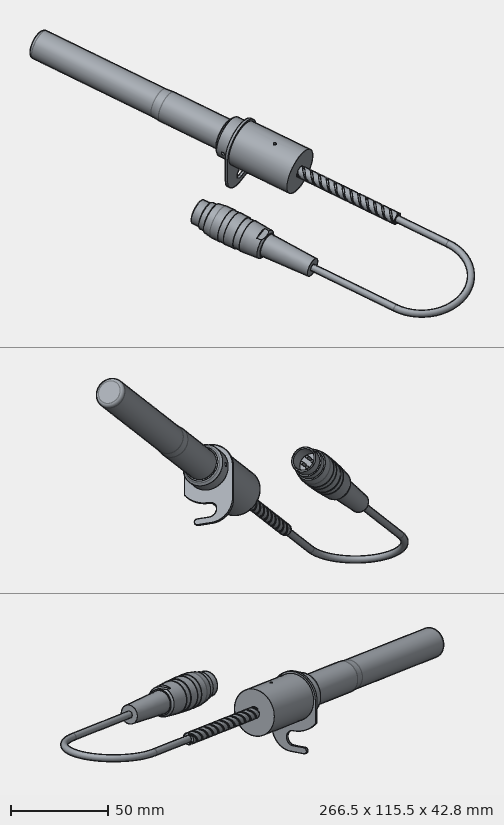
import cadquery as cq
import math

AXIS_TILT = -13.0

TIP_DIAMETER = 16.0
TIP_FILLET = 1.9
CONE_START = 74.3
CONE_END = 79.1
BARREL_DIAMETER = 16.8
COLLAR_START = 114.5
COLLAR_RIM_DIAMETER = 18.5
COLLAR_STEP_DIAMETER = 20.0
COLLAR_STEP = 0.5
COLLAR_DIAMETER = 22.5
COLLAR_CHAMFER = (COLLAR_DIAMETER - COLLAR_STEP_DIAMETER) / 2
COLLAR_HOLE_DIAMETER = 2.0
COLLAR_HOLE_X = 120.2
SCREW_HOLE_DEPTH = 5.3

PLATE_START = 123.0
PLATE_THICKNESS = 1.5
PLATE_RADIUS = 13.5
LOBE_RADIUS = 18.0
HOOK_SLOT_RADIUS = 4.0
HOOK_SLOT_END_Y = -0.5
HOOK_BOTTOM = 29.3
HOOK_REACH = 8.0
HOOK_OUTER_RADIUS = 11.7

HOUSING_START = PLATE_START + PLATE_THICKNESS
HOUSING_END = 160.0
HOUSING_DIAMETER = 25.0
HOUSING_HOLE_DIAMETER = 1.5
HOUSING_HOLE_X = 144.7

CABLE_DIAMETER = 3.7
BEND_START = 250.0
BEND_RADIUS = 25.3
CONNECTOR_Y = -2 * BEND_RADIUS

SLEEVE_END = 219.0
SLEEVE_DIAMETER = 6.5
SLOT_FLOOR_DIAMETER = 4.5
SLOT_COUNT = 3
SLOT_WIDTH = 1.5
SLOT_START_ANGLE = 0
SLOT_LEAD = 14.5

MOUTH_START = 130.0
MOUTH_DIAMETER = 13.5
MOUTH_BORE_DIAMETER = 11.7
MOUTH_BORE_DEPTH = 8.0
NECK_START = 135.0
NECK_DIAMETER = 15.2
GRIP_START = 138.5
GRIP_START_DIAMETER = 16.8
GRIP_SHOULDER = 142.8
GRIP_SHOULDER_DIAMETER = 18.0
GRIP_MIDDLE = 149.2
GRIP_DIAMETER = 18.5
GRIP_TAPER_START = 160.5
GRIP_TAPER_DIAMETER = 17.5
GRIP_END = 171.9
GRIP_END_DIAMETER = 16.0
GRIP_END_CHAMFER = 1.0
GRIP_GROOVES = ((147.5, 151.0, 17.9), (156.7, 160.5, 17.0))
FLAT_START = 168.0
FLAT_HEIGHT = 7.2
BOOT_START_DIAMETER = 12.5
BOOT_END_DIAMETER = 10.0
BOOT_END = 199.5
PIN_DIAMETER = 1.5
PIN_LENGTH = 4.0
PIN_COUNT = 4
PIN_CIRCLE_RADIUS = 3.0


def rod(start, end, diameter):
    """Round rod along X."""
    return cq.Workplane("YZ", origin=(start, 0, 0)).circle(diameter / 2).extrude(end - start)


def turned(stations):
    """Body of revolution about X through (x, diameter) stations."""
    outline = [(x, diameter / 2) for x, diameter in stations]
    first_x = stations[0][0]
    last_x = stations[-1][0]
    return (
        cq.Workplane("XY")
        .polyline([(first_x, 0), *outline, (last_x, 0)])
        .close()
        .revolve(360, (0, 0, 0), (1, 0, 0))
    )


def make_probe():
    step_x = COLLAR_START + COLLAR_STEP
    body = turned([
        (0, TIP_DIAMETER),
        (CONE_START, TIP_DIAMETER),
        (CONE_END, BARREL_DIAMETER),
        (COLLAR_START, BARREL_DIAMETER),
        (COLLAR_START, COLLAR_RIM_DIAMETER),
        (step_x, COLLAR_STEP_DIAMETER),
        (step_x + COLLAR_CHAMFER, COLLAR_DIAMETER),
        (PLATE_START, COLLAR_DIAMETER),
    ])
    body = body.faces("<X").edges().fillet(TIP_FILLET)
    screw_hole = (
        cq.Workplane("XZ", origin=(COLLAR_HOLE_X, -COLLAR_DIAMETER / 2, 0))
        .circle(COLLAR_HOLE_DIAMETER / 2)
        .extrude(-SCREW_HOLE_DEPTH)
    )
    return body.cut(screw_hole)


def make_hook_plate():
    lobe_corner_z = -math.sqrt(LOBE_RADIUS**2 - PLATE_RADIUS**2)
    lobe_middle_y = PLATE_RADIUS / 2
    lobe_middle_z = -math.sqrt(LOBE_RADIUS**2 - lobe_middle_y**2)
    slot_deepest_y = HOOK_SLOT_END_Y - HOOK_SLOT_RADIUS
    slot_bottom = -LOBE_RADIUS - 2 * HOOK_SLOT_RADIUS
    arm_radius = (HOOK_BOTTOM + slot_bottom) / 2
    arm_end_y = HOOK_REACH - arm_radius
    outer_y = HOOK_OUTER_RADIUS - PLATE_RADIUS
    outer_z = HOOK_OUTER_RADIUS - HOOK_BOTTOM
    outer_middle = HOOK_OUTER_RADIUS * math.sqrt(0.5)
    return (
        cq.Workplane("YZ", origin=(PLATE_START, 0, 0))
        .moveTo(-PLATE_RADIUS, 0)
        .threePointArc((0, PLATE_RADIUS), (PLATE_RADIUS, 0))
        .lineTo(PLATE_RADIUS, lobe_corner_z)
        .threePointArc((lobe_middle_y, lobe_middle_z), (0, -LOBE_RADIUS))
        .lineTo(HOOK_SLOT_END_Y, -LOBE_RADIUS)
        .threePointArc((slot_deepest_y, -LOBE_RADIUS - HOOK_SLOT_RADIUS), (HOOK_SLOT_END_Y, slot_bottom))
        .lineTo(arm_end_y, slot_bottom)
        .threePointArc((HOOK_REACH, slot_bottom - arm_radius), (arm_end_y, -HOOK_BOTTOM))
        .lineTo(outer_y, -HOOK_BOTTOM)
        .threePointArc((outer_y - outer_middle, outer_z - outer_middle), (-PLATE_RADIUS, outer_z))
        .close()
        .extrude(PLATE_THICKNESS)
    )


def make_housing():
    screw_hole = (
        cq.Workplane("XY", origin=(HOUSING_HOLE_X, 0, HOUSING_DIAMETER / 2))
        .circle(HOUSING_HOLE_DIAMETER / 2)
        .extrude(-SCREW_HOLE_DEPTH)
    )
    return rod(HOUSING_START, HOUSING_END, HOUSING_DIAMETER).cut(screw_hole)


def make_cable():
    path = (
        cq.Workplane("XY")
        .moveTo(HOUSING_END, 0)
        .lineTo(BEND_START, 0)
        .threePointArc((BEND_START + BEND_RADIUS, -BEND_RADIUS), (BEND_START, CONNECTOR_Y))
        .lineTo(BOOT_END, CONNECTOR_Y)
    )
    return (
        cq.Workplane("YZ", origin=(HOUSING_END, 0, 0))
        .circle(CABLE_DIAMETER / 2)
        .sweep(path)
    )


def make_sleeve():
    length = SLEEVE_END - HOUSING_END
    section = (
        cq.Sketch()
        .circle(SLEEVE_DIAMETER / 2)
        .parray(SLEEVE_DIAMETER / 2, SLOT_START_ANGLE, 360, SLOT_COUNT)
        .rect(SLEEVE_DIAMETER - SLOT_FLOOR_DIAMETER, SLOT_WIDTH, mode="s")
        .reset()
    )
    sleeve = cq.Workplane("XY").placeSketch(section).twistExtrude(length, 360 * length / SLOT_LEAD)
    sleeve = sleeve.rotate((0, 0, 0), (0, 1, 0), 90).translate((HOUSING_END, 0, 0))
    return sleeve.cut(rod(HOUSING_END, SLEEVE_END, CABLE_DIAMETER))


def make_connector():
    body = turned([
        (MOUTH_START, MOUTH_DIAMETER),
        (NECK_START, MOUTH_DIAMETER),
        (NECK_START, NECK_DIAMETER),
        (GRIP_START, NECK_DIAMETER),
        (GRIP_START, GRIP_START_DIAMETER),
        (GRIP_SHOULDER, GRIP_SHOULDER_DIAMETER),
        (GRIP_MIDDLE, GRIP_DIAMETER),
        (GRIP_TAPER_START, GRIP_TAPER_DIAMETER),
        (GRIP_END - GRIP_END_CHAMFER, GRIP_END_DIAMETER),
        (GRIP_END, GRIP_END_DIAMETER - 2 * GRIP_END_CHAMFER),
        (GRIP_END, BOOT_START_DIAMETER),
        (BOOT_END, BOOT_END_DIAMETER),
    ])
    for start, end, floor_diameter in GRIP_GROOVES:
        ring = rod(start, end, 2 * GRIP_DIAMETER).cut(rod(start, end, floor_diameter))
        body = body.cut(ring)

    flat_cutter = cq.Workplane("XY").box(
        GRIP_END - FLAT_START, GRIP_DIAMETER, GRIP_DIAMETER, centered=(False, True, False)
    )
    body = body.cut(flat_cutter.translate((FLAT_START, 0, FLAT_HEIGHT)))

    bore_floor = MOUTH_START + MOUTH_BORE_DEPTH
    body = body.cut(rod(MOUTH_START, bore_floor, MOUTH_BORE_DIAMETER))
    pins = (
        cq.Workplane("YZ", origin=(bore_floor, 0, 0))
        .polarArray(PIN_CIRCLE_RADIUS, 0, 360, PIN_COUNT)
        .circle(PIN_DIAMETER / 2)
        .extrude(-PIN_LENGTH)
    )
    return body.union(pins).translate((0, CONNECTOR_Y, 0))


probe = make_probe()
hook_plate = make_hook_plate()
housing = make_housing()
cable = make_cable()
sleeve = make_sleeve()
connector = make_connector()

bodies = [probe, hook_plate, housing, cable, sleeve, connector]
result = cq.Compound.makeCompound(
    [body.rotate((0, 0, 0), (0, 0, 1), AXIS_TILT).val() for body in bodies]
)